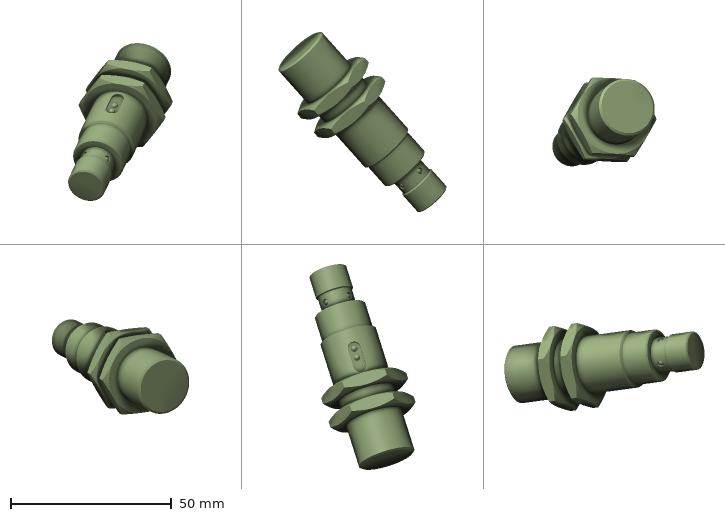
import cadquery as cq
import math

CAP_LENGTH = 7.8
NECK_END = 13.0
COLLAR_END = 21.6
TOTAL_LENGTH = 63.5

CAP_DIAMETER = 12.0
NECK_DIAMETER = 11.0
COLLAR_DIAMETER = 16.4
BARREL_DIAMETER = 18.05

CAP_BEVEL = 0.4
CAP_BEVEL_DEPTH = 0.5
CAP_BACK_BEVEL = 0.3
COLLAR_BEVEL = 0.45
SHOULDER_BEVEL = 0.6
REAR_BEVEL = 0.5
REAR_BEVEL_DEPTH = 0.7

LIGHT_DIAMETER = 2.0
SLOT_WIDTH = 4.0
SLOT_LENGTH = 10.05
SLOT_CENTER_Y = 31.45
SLOT_FLOOR_Z = (BARREL_DIAMETER - LIGHT_DIAMETER) / 2
LIGHT_SPACING = 3.0
LIGHT_POSITIONS_Y = (SLOT_CENTER_Y, SLOT_CENTER_Y - LIGHT_SPACING)

DIMPLE_COUNT = 4
DIMPLE_DIAMETER = 2.1
DIMPLE_DEPTH = 1.0
DIMPLE_FLOOR_RADIUS = NECK_DIAMETER / 2 - DIMPLE_DEPTH
DIMPLE_Y = 10.5

NUT_SIDES = 6
NUT_ACROSS_FLATS = 24.0
NUT_THICKNESS = 4.0
NUT_BEVEL_ANGLE = 30.0
NUT_POSITIONS_Y = (37.5, 45.45)


def make_turned_body():
    """Revolve the stepped half profile about the Y axis."""
    cap_radius = CAP_DIAMETER / 2
    neck_radius = NECK_DIAMETER / 2
    collar_radius = COLLAR_DIAMETER / 2
    barrel_radius = BARREL_DIAMETER / 2
    profile = [
        (0, 0),
        (cap_radius - CAP_BEVEL_DEPTH, 0),
        (cap_radius, CAP_BEVEL),
        (cap_radius, CAP_LENGTH - CAP_BACK_BEVEL),
        (neck_radius, CAP_LENGTH),
        (neck_radius, NECK_END),
        (collar_radius - COLLAR_BEVEL, NECK_END),
        (collar_radius, NECK_END + COLLAR_BEVEL),
        (collar_radius, COLLAR_END),
        (barrel_radius, COLLAR_END + SHOULDER_BEVEL),
        (barrel_radius, TOTAL_LENGTH - REAR_BEVEL),
        (barrel_radius - REAR_BEVEL_DEPTH, TOTAL_LENGTH),
        (0, TOTAL_LENGTH),
    ]
    return cq.Workplane("XY").polyline(profile).close().revolve(360, (0, 0), (0, 1))


def make_slot():
    """Cutter for the flat-floored indicator slot on top of the barrel."""
    return (
        cq.Workplane("XY", origin=(0, SLOT_CENTER_Y, SLOT_FLOOR_Z))
        .slot2D(SLOT_LENGTH, SLOT_WIDTH, 90)
        .extrude(BARREL_DIAMETER / 2)
    )


def make_light(y, floor_z):
    """Domed indicator light whose lower half is embedded below its floor."""
    return cq.Workplane("XY", origin=(0, y, floor_z)).sphere(LIGHT_DIAMETER / 2)


def make_dimple():
    """Cutter for a blind hole in the neck, pointing up along Z."""
    return (
        cq.Workplane("XY", origin=(0, DIMPLE_Y, DIMPLE_FLOOR_RADIUS))
        .circle(DIMPLE_DIAMETER / 2)
        .extrude(2 * DIMPLE_DEPTH)
    )


def turn_about_barrel(shape, angle):
    """Rotate a shape about the barrel axis."""
    return shape.rotate((0, 0, 0), (0, 1, 0), angle)


def make_sensor():
    """Complete sensor barrel with indicator lights in its slot and neck dimples."""
    sensor = make_turned_body().cut(make_slot())
    for y in LIGHT_POSITIONS_Y:
        sensor = sensor.union(make_light(y, SLOT_FLOOR_Z))
    pitch = 360 / DIMPLE_COUNT
    for index in range(DIMPLE_COUNT):
        angle = (index + 0.5) * pitch
        sensor = sensor.cut(turn_about_barrel(make_dimple(), angle))
        sensor = sensor.union(turn_about_barrel(make_light(DIMPLE_Y, DIMPLE_FLOOR_RADIUS), angle))
    return sensor


def make_nut(start_y):
    """Hexagonal nut with corners bevelled on both faces and a plain bore."""
    face_radius = NUT_ACROSS_FLATS / 2
    corner_radius = face_radius / math.cos(math.pi / NUT_SIDES)
    corner_drop = (corner_radius - face_radius) * math.tan(math.radians(NUT_BEVEL_ANGLE))
    hexagon = (
        cq.Workplane("XZ")
        .polygon(NUT_SIDES, 2 * corner_radius)
        .circle(BARREL_DIAMETER / 2)
        .extrude(-NUT_THICKNESS)
    )
    bevel_envelope = (
        cq.Workplane("XY")
        .polyline([
            (0, 0),
            (face_radius, 0),
            (corner_radius, corner_drop),
            (corner_radius, NUT_THICKNESS - corner_drop),
            (face_radius, NUT_THICKNESS),
            (0, NUT_THICKNESS),
        ])
        .close()
        .revolve(360, (0, 0), (0, 1))
    )
    return hexagon.intersect(bevel_envelope).translate((0, start_y, 0))


sensor = make_sensor()
nuts = [make_nut(y) for y in NUT_POSITIONS_Y]

result = cq.Compound.makeCompound([sensor.val(), *[nut.val() for nut in nuts]])